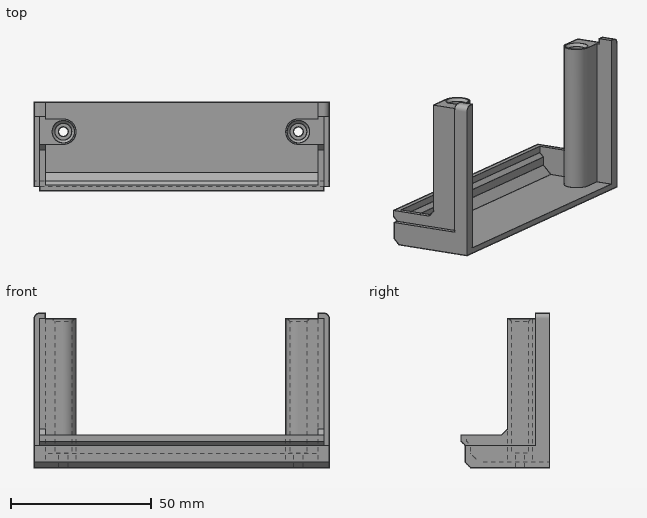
import cadquery as cq
import math

length = 105.0
depth = 31.5
height = 55.0

wall = 2.0
inner_length = length - 2 * wall
pocket_length = inner_length - 2 * wall
lip_overhang = 1.5
base_height = 8.0
lip_height = 11.8
edge_chamfer = 2.0
floor_thickness = wall
floor_chamfer = 3.0

upright_depth = 5.0
post_height = height - wall
post_width = 9.0
post_radius = post_width / 2
left_post_x = -42.1
right_post_x = 41.5
post_axis_y = 21.0
post_front = post_axis_y - post_radius
foot_chamfer = 2.0

screw_diameter = 3.4
bore_diameter = 6.0
mouth_diameter = 8.0
mouth_depth = (mouth_diameter - bore_diameter) / 2
screw_seat_height = 5.2


def prism_along_x(outline, width):
    """Extrude a (Y, Z) outline along X, centred on X = 0."""
    return cq.Workplane("YZ").polyline(outline).close().extrude(width / 2, both=True)


def make_base():
    """Full-length base block with its lower front edge cut off."""
    return prism_along_x(
        [
            (lip_overhang + edge_chamfer, 0),
            (depth, 0),
            (depth, base_height),
            (lip_overhang, base_height),
            (lip_overhang, edge_chamfer),
        ],
        length,
    )


def make_inner_walls():
    """L-shaped block that holds the front lip and both inner walls."""
    return prism_along_x(
        [
            (lip_overhang, base_height),
            (depth, base_height),
            (depth, post_height),
            (post_front, post_height),
            (post_front, lip_height + foot_chamfer),
            (post_front - foot_chamfer, lip_height),
            (0, lip_height),
            (0, base_height + lip_overhang),
        ],
        inner_length,
    )


def make_pocket():
    """Space between the inner walls, open at the back and at the top."""
    front = lip_overhang + wall
    return prism_along_x(
        [
            (front + floor_chamfer, floor_thickness),
            (depth, floor_thickness),
            (depth, height),
            (wall, height),
            (wall, base_height + lip_overhang),
            (front, base_height),
            (front, floor_thickness + floor_chamfer),
        ],
        pocket_length,
    )


def make_upright(side):
    """Outer strip at one end, hooked inwards over the inner wall with a round outer corner."""
    outer = side * length / 2
    skin = outer - side * wall
    hook = outer - side * 2 * wall
    bend = wall * 0.5 ** 0.5
    return (
        cq.Workplane("XZ", origin=(0, depth, 0))
        .moveTo(outer, 0)
        .lineTo(outer, post_height)
        .threePointArc((skin + side * bend, post_height + bend), (skin, height))
        .lineTo(hook, height)
        .lineTo(hook, 0)
        .close()
        .extrude(upright_depth)
    )


def make_post(axis_x):
    """Round-nosed screw post that joins the nearest inner wall."""
    wall_x = math.copysign(inner_length / 2, axis_x)
    web_length = abs(wall_x - axis_x)
    web = (
        cq.Workplane("XY")
        .center((axis_x + wall_x) / 2, post_axis_y)
        .rect(web_length, post_width)
        .extrude(post_height)
    )
    nose = cq.Workplane("XY").center(axis_x, post_axis_y).circle(post_radius).extrude(post_height)
    return web.union(nose)


def make_screw_hole(axis_x):
    """Through hole with a wide bore above the screw seat and a tapered mouth."""
    return (
        cq.Workplane("XZ")
        .polyline(
            [
                (0, 0),
                (screw_diameter / 2, 0),
                (screw_diameter / 2, screw_seat_height),
                (bore_diameter / 2, screw_seat_height),
                (bore_diameter / 2, post_height - mouth_depth),
                (mouth_diameter / 2, post_height),
                (0, post_height),
            ]
        )
        .close()
        .revolve(360, (0, 0, 0), (0, 1, 0))
        .translate((axis_x, post_axis_y, 0))
    )


result = make_base().union(make_inner_walls()).cut(make_pocket())
for side, axis_x in ((-1, left_post_x), (1, right_post_x)):
    result = result.union(make_upright(side)).union(make_post(axis_x))
    result = result.cut(make_screw_hole(axis_x))
result = result.clean()